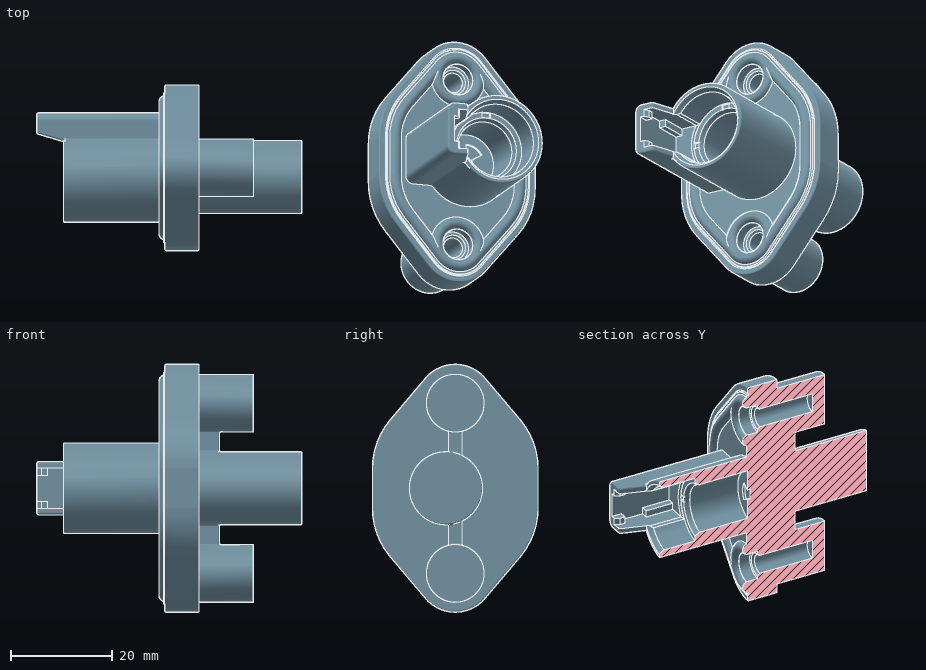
import cadquery as cq
import math


half_width = 16.45
half_height = 24.55
flange_back = 6.8
end_radius = 7.7
side_radius = 15.0
side_flat_half = 3.9
flange_edge = 0.3
boss_z = half_height - end_radius

groove_inset = 1.3
groove_depth = 0.3
pad_thickness = 0.2
bead_inset = 3.35
bead_radius = 1.25
bead_axis_x = 0.1
ring_radius = end_radius - bead_inset

boss_radius = 5.7
boss_end = 17.55
bore_radius = ring_radius - bead_radius
ledge_x = 2.25
screw_radius = 2.0
screw_lead = 0.45
screw_end = 14.7

axis_y = -1.85
tube_radius = 9.0
tube_front = -20.05
mouth_radius = 8.15
mouth_depth = 1.05
socket_radius = 7.4
socket_floor = -11.95
cavity_lead = 0.6
cavity_lead_depth = 1.05
cavity_radius = 5.7
cavity_floor = 0.0
sleeve_radius = 7.25
sleeve_end = 27.15
small_edge = 0.25

fan_count = 3
fan_radius = 3.8
fan_hub_radius = 1.3
fan_angle = 60
fan_depth = 0.5

top_notch_width = 1.75
side_notch_width = 1.15
notch_inner_radius = cavity_radius + cavity_lead
notch_depth = 0.5

guide_front = -25.35
guide_floor = -12.4
guide_outer_y = 10.9
guide_half_height = 5.3
guide_wall = 1.35
guide_corner = 1.6
tip_lip_y = 6.7
slope_end_y = 5.15
guide_edge = 0.45
guide_blend = 0.85
trough_y = guide_outer_y - guide_wall
trough_half_height = 4.0
trough_bevel = 0.35

rail_height = 1.4
rail_front = -18.45
hook_tip_height = 0.85
hook_slope = 1.0
hook_length = 2.1

web_thickness = 2.6
web_end = 10.85


def cylinder(radius, x_start, x_end, y=0.0, z=0.0):
    """Solid cylinder along X."""
    return cq.Workplane("YZ", origin=(x_start, y, z)).circle(radius).extrude(x_end - x_start)


def cone(radius_start, radius_end, x_start, x_end, y=0.0, z=0.0):
    """Solid truncated cone along X."""
    solid = cq.Solid.makeCone(
        radius_start, radius_end, x_end - x_start, cq.Vector(x_start, y, z), cq.Vector(1, 0, 0)
    )
    return cq.Workplane(obj=solid)


def box(x_range, y_range, z_range):
    """Box spanning the given ranges."""
    sizes = [high - low for low, high in (x_range, y_range, z_range)]
    corner = (x_range[0], y_range[0], z_range[0])
    return cq.Workplane(origin=corner).box(*sizes, centered=False)


def diamond(inset, x):
    """Flange outline moved inward by inset: two end arcs, four side arcs and the tangent lines."""
    r_end = end_radius - inset
    r_side = side_radius - inset
    side_y = half_width - side_radius
    rise = boss_z - side_flat_half
    slant = math.atan2(rise, -side_y) - math.acos((side_radius - end_radius) / math.hypot(side_y, rise))

    def end_point(angle):
        return r_end * math.cos(angle), boss_z + r_end * math.sin(angle)

    def side_point(angle):
        return side_y + r_side * math.cos(angle), side_flat_half + r_side * math.sin(angle)

    def turned(point):
        return -point[0], -point[1]

    def left(point):
        return -point[0], point[1]

    def right_low(point):
        return point[0], -point[1]

    end, end_top = end_point(slant), end_point(math.pi / 2)
    side, side_mid, side_low = side_point(slant), side_point(slant / 2), side_point(0)
    return (
        cq.Workplane("YZ", origin=(x, 0, 0))
        .moveTo(*side_low)
        .threePointArc(side_mid, side)
        .lineTo(*end)
        .threePointArc(end_top, left(end))
        .lineTo(*left(side))
        .threePointArc(left(side_mid), left(side_low))
        .lineTo(*turned(side_low))
        .threePointArc(turned(side_mid), turned(side))
        .lineTo(*turned(end))
        .threePointArc(turned(end_top), right_low(end))
        .lineTo(*right_low(side))
        .threePointArc(right_low(side_mid), right_low(side_low))
        .close()
    )


def make_flange():
    """Flange plate with a V groove around the raised seal pad."""
    plate = diamond(0, 0).extrude(flange_back).faces("<X or >X").edges().fillet(flange_edge)
    recess = diamond(groove_inset, 0).extrude(groove_depth, taper=45)
    pad = diamond(groove_inset + groove_depth, -pad_thickness).extrude(pad_thickness + groove_depth)
    return plate.cut(recess).union(pad)


def make_seal_bead():
    """Round bead following the flange outline, plus a ring around each screw hole."""
    start = (bead_axis_x, half_width - bead_inset, side_flat_half)
    bead = cq.Workplane("XY", origin=start).circle(bead_radius).sweep(diamond(bead_inset, bead_axis_x))
    for z in (-boss_z, boss_z):
        ring = cq.Solid.makeTorus(ring_radius, bead_radius, cq.Vector(bead_axis_x, 0, z), cq.Vector(1, 0, 0))
        bead = bead.union(cq.Workplane(obj=ring))
    return bead


def make_rear_cluster():
    """Sleeve and screw bosses joined by webs, with fillets along the web roots."""
    half_web = web_thickness / 2
    plate = box((0, web_end), (-half_web, half_web), (-boss_z, boss_z))
    plate = plate.faces(">X").edges("|Z").fillet(small_edge)
    sleeve = cylinder(sleeve_radius, 0, sleeve_end, axis_y).faces(">X").edges().fillet(small_edge)
    cluster = plate.union(sleeve)
    for z in (-boss_z, boss_z):
        cluster = cluster.union(cylinder(boss_radius, 0, boss_end, 0, z))
    web_roots = cq.selectors.BoxSelector((0, -web_thickness, -boss_z), (web_end, web_thickness, boss_z))
    return cluster.edges("|X").edges(web_roots).fillet(small_edge)


def make_guide():
    """Latch guide block: slanted at the plug end, rounded along its outer corners."""
    slope = (slope_end_y - tip_lip_y) / (tube_front - guide_front)
    profile = [
        (guide_front, guide_outer_y),
        (guide_front, tip_lip_y),
        (0, tip_lip_y - slope * guide_front),
        (0, guide_outer_y),
    ]
    block = (
        cq.Workplane("XY", origin=(0, 0, -guide_half_height))
        .polyline(profile)
        .close()
        .extrude(2 * guide_half_height)
    )
    return block.edges("|X and >Y").fillet(guide_corner).faces("<X or <Y").edges().fillet(guide_edge)


def make_guide_blends():
    """Concave fillets running along X where the sides of the guide meet the tube."""
    center_z = guide_half_height + guide_blend
    center_y = math.sqrt((tube_radius + guide_blend) ** 2 - center_z**2)
    on_tube = tube_radius / (tube_radius + guide_blend)
    blend = (
        cq.Workplane("YZ", origin=(tube_front + small_edge, axis_y, 0))
        .moveTo(center_y, guide_half_height)
        .radiusArc((center_y * on_tube, center_z * on_tube), guide_blend)
        .lineTo(center_y * on_tube, guide_half_height - small_edge)
        .lineTo(center_y, guide_half_height - small_edge)
        .close()
        .extrude(-tube_front - small_edge)
    )
    return blend.union(blend.mirror("XY"))


def make_trough():
    """Open space of latch guide and socket, bevelled along the edges where the two meet."""
    trough = box(
        (guide_front, guide_floor), (axis_y, trough_y), (-trough_half_height, trough_half_height)
    )
    socket = cylinder(socket_radius, guide_front, socket_floor, axis_y)
    meeting_edges = cq.selectors.BoxSelector(
        (guide_front, 0, -guide_half_height),
        (guide_floor + small_edge / 2, axis_y + socket_radius, guide_half_height),
    )
    return trough.union(socket).edges(meeting_edges).chamfer(trough_bevel)


def make_rails_and_hooks():
    """A long rail and a short snap hook in each corner of the trough."""
    hook_top = trough_y - rail_height
    hook_profile = [
        (guide_front, trough_y),
        (guide_front, trough_y - hook_tip_height),
        (guide_front + hook_slope, hook_top),
        (guide_front + hook_length, hook_top),
        (guide_front + hook_length, trough_y),
    ]
    corners = cq.Workplane()
    for z in (-trough_half_height, trough_half_height - rail_height):
        hook = cq.Workplane(origin=(0, 0, z)).polyline(hook_profile).close().extrude(rail_height)
        rail = box((rail_front, guide_floor), (hook_top, trough_y), (z, z + rail_height))
        corners = corners.add(hook).add(rail)
    return corners.combine()


def make_lead_in_and_cavity():
    """Inner cavity with a lead-in cone, and the lead-in cone at the socket mouth."""
    cavity_rim = cavity_radius + cavity_lead
    lead_end = socket_floor + cavity_lead_depth
    return (
        cone(mouth_radius, socket_radius, tube_front, tube_front + mouth_depth, axis_y)
        .union(cone(cavity_rim, cavity_radius, socket_floor, lead_end, axis_y))
        .union(cylinder(cavity_radius, socket_floor, cavity_floor, axis_y))
    )


def make_fans():
    """Fan-shaped recesses opening outward from a common hub."""
    ring = cylinder(fan_radius, cavity_floor, cavity_floor + fan_depth, axis_y)
    reach = 2 * fan_radius
    half_spread = reach * math.tan(math.radians(fan_angle / 2))
    wedge = (
        cq.Workplane("YZ", origin=(cavity_floor, axis_y, 0))
        .polyline([(0, 0), (reach, half_spread), (reach, -half_spread)])
        .close()
        .extrude(fan_depth)
    )
    axis_start, axis_end = (0, axis_y, 0), (1, axis_y, 0)
    wedges = wedge
    for index in range(1, fan_count):
        wedges = wedges.union(wedge.rotate(axis_start, axis_end, index * 360 / fan_count))
    hub = cylinder(fan_hub_radius, cavity_floor, cavity_floor + fan_depth, axis_y)
    return ring.intersect(wedges).union(hub)


def make_notches():
    """Notches in the socket floor, one at the top and one toward the latch guide."""
    x_range = (socket_floor, socket_floor + notch_depth)
    radial = (notch_inner_radius, socket_radius)
    top_y = (axis_y - top_notch_width / 2, axis_y + top_notch_width / 2)
    side_y = tuple(axis_y + radius for radius in radial)
    top_notch = box(x_range, top_y, radial)
    side_notch = box(x_range, side_y, (-side_notch_width / 2, side_notch_width / 2))
    return top_notch.add(side_notch).combine()


def make_screw_hole(z):
    """Stepped blind hole with a lead-in cone below the ledge."""
    return (
        cylinder(bore_radius, bead_axis_x - bead_radius, ledge_x, 0, z)
        .union(cone(screw_radius + screw_lead, screw_radius, ledge_x, ledge_x + screw_lead, 0, z))
        .union(cylinder(screw_radius, ledge_x, screw_end, 0, z))
    )


body = make_flange().union(make_seal_bead()).union(make_rear_cluster())
for boss_center_z in (-boss_z, boss_z):
    body = body.cut(make_screw_hole(boss_center_z))

tube = cylinder(tube_radius, tube_front, 0, axis_y).faces("<X").edges().fillet(small_edge)
body = body.union(tube).union(make_guide()).union(make_guide_blends())
body = body.cut(make_trough()).cut(make_lead_in_and_cavity()).cut(make_fans()).cut(make_notches())
result = body.union(make_rails_and_hooks())